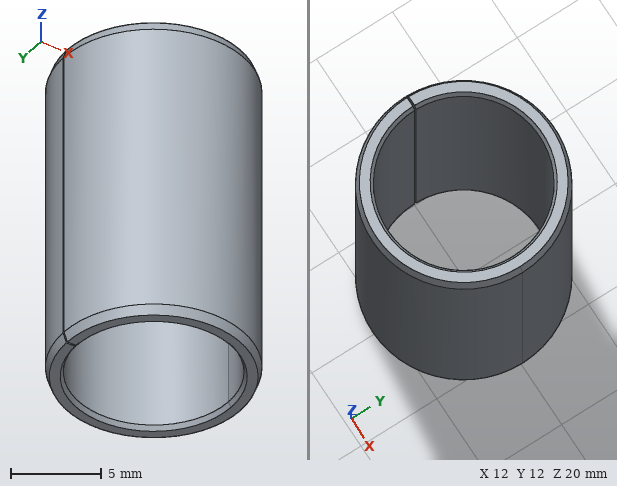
import cadquery as cq

length = 20.0
outer_diameter = 12.0
wall = 1.0
outer_chamfer_height = 0.6
outer_chamfer_depth = 0.22
inner_chamfer_height = 0.3
inner_chamfer_depth = 0.18
slit_width = 0.1

outer_radius = outer_diameter / 2
inner_radius = outer_radius - wall
half_length = length / 2


def bush_body():
    """Revolve the wall section, chamfered inside and out at both ends."""
    face_inner = inner_radius + inner_chamfer_depth
    face_outer = outer_radius - outer_chamfer_depth
    bore_end = half_length - inner_chamfer_height
    outside_end = half_length - outer_chamfer_height
    section = [
        (inner_radius, -bore_end),
        (face_inner, -half_length),
        (face_outer, -half_length),
        (outer_radius, -outside_end),
        (outer_radius, outside_end),
        (face_outer, half_length),
        (face_inner, half_length),
        (inner_radius, bore_end),
    ]
    return cq.Workplane("XZ").polyline(section).close().revolve(360, (0, 0), (0, 1))


def joint_slit():
    """Full-length cutter for the joint on the -X side, with one face on the XZ plane."""
    cutter = cq.Workplane("XY").box(outer_radius, slit_width, length, centered=(False, False, True))
    return cutter.translate((-outer_radius, 0, 0))


result = bush_body().cut(joint_slit())